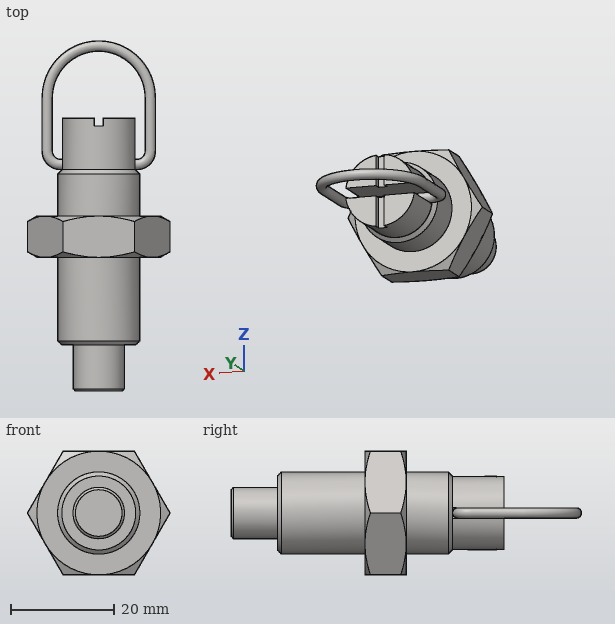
import cadquery as cq
import math


hex_across_flats = 24.0
hex_length = 8.0
hex_chamfer_angle = 30
sleeve_radius = 7.99
sleeve_reach = 17.0
sleeve_chamfer = 0.8

pin_radius = 5.0
pin_tip = -26.0
pin_chamfer = 0.5

knob_radius = 7.15
knob_end = 27.0
screwdriver_slot_width = 1.7
screwdriver_slot_depth = 1.5

total_length = 68.0
wire_radius = 1.0
ring_radius = 10.0
ring_bend_radius = 2.6
ring_bar_y = sleeve_reach + wire_radius
ring_bow_y = pin_tip + total_length - wire_radius - ring_radius


def cylinder(radius, start, end):
    """Cylinder on the Y axis from start to end."""
    plane = cq.Plane(origin=(0, start, 0), xDir=(1, 0, 0), normal=(0, 1, 0))
    return cq.Workplane(plane).circle(radius).extrude(end - start)


def make_hexagon():
    """Hexagon with corners on X, both ends cut back by a cone touching the flats."""
    inner_radius = hex_across_flats / 2
    corner_radius = inner_radius / math.cos(math.pi / 6)
    corner_drop = (corner_radius - inner_radius) * math.tan(math.radians(hex_chamfer_angle))
    prism = (
        cq.Workplane("XZ")
        .polygon(6, 2 * corner_radius)
        .extrude(-hex_length)
    )
    envelope = (
        cq.Workplane("XY")
        .moveTo(0, 0)
        .lineTo(inner_radius, 0)
        .lineTo(corner_radius, corner_drop)
        .lineTo(corner_radius, hex_length - corner_drop)
        .lineTo(inner_radius, hex_length)
        .lineTo(0, hex_length)
        .close()
        .revolve(360, (0, 0, 0), (0, 1, 0))
    )
    return prism.intersect(envelope)


def make_housing():
    """Chamfered sleeve with a hexagon and a through bore."""
    sleeve = cylinder(sleeve_radius, -sleeve_reach, sleeve_reach)
    sleeve = sleeve.faces("<Y or >Y").chamfer(sleeve_chamfer)
    bore = cylinder(pin_radius, -sleeve_reach, sleeve_reach)
    return sleeve.union(make_hexagon()).cut(bore)


def make_pin():
    """Pin that fills the front half of the bore and meets the knob stem at Y = 0."""
    return cylinder(pin_radius, pin_tip, 0).faces("<Y").chamfer(pin_chamfer)


def make_knob():
    """Knob on a stem, with a wire slot along X and a screwdriver slot along Z."""
    knob = cylinder(knob_radius, sleeve_reach, knob_end)
    stem = cylinder(pin_radius, 0, sleeve_reach)
    wire_slot = cq.Workplane("XY").box(
        2 * knob_radius, knob_end - sleeve_reach, 2 * wire_radius
    ).translate((0, (sleeve_reach + knob_end) / 2, 0))
    screwdriver_slot = cq.Workplane("XY").box(
        screwdriver_slot_width, screwdriver_slot_depth, 2 * knob_radius
    ).translate((0, knob_end - screwdriver_slot_depth / 2, 0))
    return knob.union(stem).cut(wire_slot).cut(screwdriver_slot)


def make_pull_ring():
    """Closed wire loop: straight bar, two small bends, two legs and a large bow."""
    bend_y = ring_bar_y + ring_bend_radius
    bend_x = ring_radius - ring_bend_radius
    path = (
        cq.Workplane("XY")
        .moveTo(0, ring_bar_y)
        .lineTo(bend_x, ring_bar_y)
        .tangentArcPoint((ring_radius, bend_y), relative=False)
        .lineTo(ring_radius, ring_bow_y)
        .threePointArc((0, ring_bow_y + ring_radius), (-ring_radius, ring_bow_y))
        .lineTo(-ring_radius, bend_y)
        .tangentArcPoint((-bend_x, ring_bar_y), relative=False)
        .close()
    )
    return (
        cq.Workplane("YZ")
        .center(ring_bar_y, 0)
        .circle(wire_radius)
        .sweep(path)
    )


housing = make_housing()
pin = make_pin()
knob = make_knob()
pull_ring = make_pull_ring()

bodies = [housing, pin, knob, pull_ring]
result = cq.Compound.makeCompound([body.solids().val() for body in bodies])